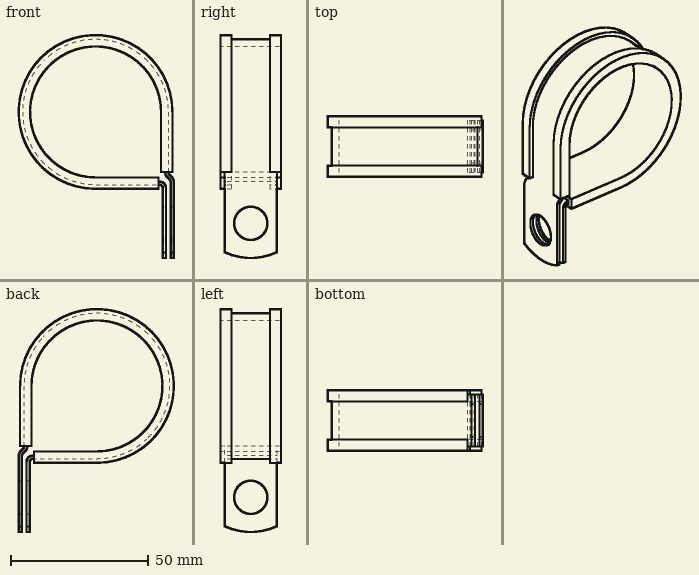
import cadquery as cq
import math

outer_radius = 28.0
wall = 4.2
clamp_width = 22.1
upper_leg_end_z = -21.9
lower_leg_end_x = 23.0

groove_width = 14.0
strap_thickness = 1.2
strap_width = 19.0
groove_depth = (wall - strap_thickness) / 2

total_height = 81.2
tab_bottom_z = outer_radius - total_height
outer_tab_face_x = 28.5
tab_pitch = 2.85
tip_sag = 2.1
hole_diameter = 12.0
hole_z = -40.5
bend_radius = 1.5 * strap_thickness

strap_radius = outer_radius - groove_depth - strap_thickness / 2
outer_tab_x = outer_tab_face_x - strap_thickness / 2
inner_tab_x = outer_tab_x - tab_pitch


def teardrop(radius, width):
    """Three quarters of a disc with a square corner reaching to +X and -Z."""
    back_plane = cq.Workplane("XZ", origin=(0, width / 2, 0))
    disc = back_plane.circle(radius).extrude(width)
    corner = back_plane.rect(radius, -radius, centered=False).extrude(width)
    return disc.union(corner)


def make_cushion():
    inner_radius = outer_radius - wall
    body = teardrop(outer_radius, clamp_width).cut(teardrop(inner_radius, clamp_width))
    groove_floor = outer_radius - groove_depth
    groove = teardrop(outer_radius, groove_width).cut(teardrop(groove_floor, groove_width))
    corner_gap = (
        cq.Workplane("XZ", origin=(0, clamp_width / 2, 0))
        .moveTo(lower_leg_end_x, upper_leg_end_z)
        .lineTo(outer_radius, upper_leg_end_z)
        .lineTo(outer_radius, -outer_radius)
        .lineTo(lower_leg_end_x, -outer_radius)
        .close()
        .extrude(clamp_width)
    )
    return body.cut(groove).cut(corner_gap)


def make_outer_tab():
    """Jog outward at 45 degrees below the upper leg, then run straight down."""
    slope = math.radians(45)
    bend_x = bend_radius * (1 - math.cos(slope))
    bend_z = bend_radius * math.sin(slope)
    jog = outer_tab_x - strap_radius
    straight_drop = (jog - 2 * bend_x) / math.tan(slope)
    ramp_top_z = upper_leg_end_z - bend_z
    ramp_bottom_z = ramp_top_z - straight_drop
    path = (
        cq.Workplane("XZ")
        .moveTo(strap_radius, upper_leg_end_z)
        .radiusArc((strap_radius + bend_x, ramp_top_z), -bend_radius)
        .lineTo(outer_tab_x - bend_x, ramp_bottom_z)
        .radiusArc((outer_tab_x, ramp_bottom_z - bend_z), bend_radius)
        .lineTo(outer_tab_x, tab_bottom_z)
    )
    section = cq.Workplane("XY", origin=(strap_radius, 0, upper_leg_end_z))
    return section.rect(strap_thickness, strap_width).sweep(path)


def make_inner_tab():
    """Leave the lower leg along X and turn straight down."""
    path = (
        cq.Workplane("XZ")
        .moveTo(lower_leg_end_x, -strap_radius)
        .lineTo(inner_tab_x - bend_radius, -strap_radius)
        .radiusArc((inner_tab_x, -strap_radius - bend_radius), bend_radius)
        .lineTo(inner_tab_x, tab_bottom_z)
    )
    section = cq.Workplane("YZ", origin=(lower_leg_end_x, 0, -strap_radius))
    return section.rect(strap_width, strap_thickness).sweep(path)


def make_tab_outline():
    """Rounded tab tips and the bolt hole, as a prism along X."""
    half_width = strap_width / 2
    outline = (
        cq.Workplane("YZ")
        .moveTo(-half_width, 0)
        .lineTo(-half_width, tab_bottom_z + tip_sag)
        .threePointArc((0, tab_bottom_z), (half_width, tab_bottom_z + tip_sag))
        .lineTo(half_width, 0)
        .close()
        .extrude(outer_tab_face_x)
    )
    hole = (
        cq.Workplane("YZ", origin=(0, 0, hole_z))
        .circle(hole_diameter / 2)
        .extrude(outer_tab_face_x)
    )
    return outline.cut(hole)


tabs = make_outer_tab().union(make_inner_tab()).intersect(make_tab_outline())
result = make_cushion().union(tabs)